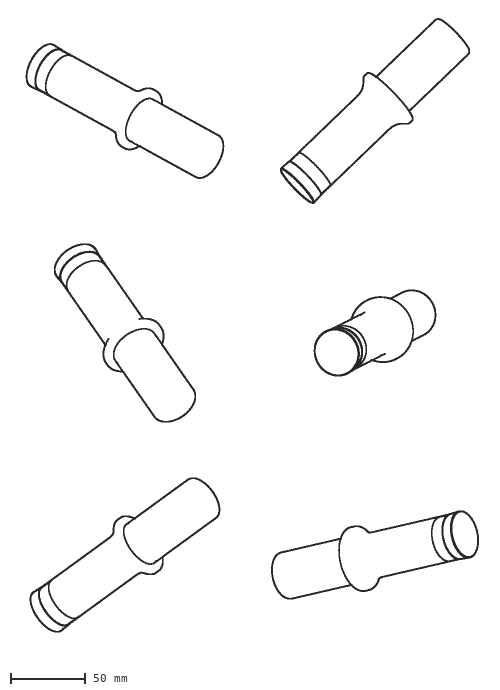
import cadquery as cq
import math

TOTAL_LENGTH = 148.0
START_X = -TOTAL_LENGTH / 2

TIP_DIAMETER = 32.0
TIP_BACK_DIAMETER = 31.2
TIP_CHAMFER = 0.5
TIP_LENGTH = 7.7
SPIGOT_DIAMETER = 30.2
SPIGOT_LENGTH = 8.9

NECK_DIAMETER = 31.0
FLARE_START = 72.1
FLARE_RADIUS = 13.6
FLARE_ANGLE = 45.0
COLLAR_DIAMETER = 44.0
COLLAR_BACK = 87.9
COLLAR_FRONT_FILLET = 1.2
COLLAR_BACK_FILLET = 0.5
REAR_DIAMETER = 32.0
REAR_FILLET = 2.2

SPIGOT_END = TIP_LENGTH + SPIGOT_LENGTH


def revolve_about_x(profile):
    """Turn a profile of (length, radius) points about the X axis and center it along X."""
    solid = profile.close().revolve(360, (0, 0, 0), (1, 0, 0))
    return solid.translate((START_X, 0, 0))


def make_tip():
    tip_radius = TIP_DIAMETER / 2
    spigot_radius = SPIGOT_DIAMETER / 2
    profile = (
        cq.Workplane("XY")
        .lineTo(0, tip_radius - TIP_CHAMFER)
        .lineTo(TIP_CHAMFER, tip_radius)
        .lineTo(TIP_LENGTH, TIP_BACK_DIAMETER / 2)
        .lineTo(TIP_LENGTH, spigot_radius)
        .lineTo(SPIGOT_END, spigot_radius)
        .lineTo(SPIGOT_END, 0)
    )
    return revolve_about_x(profile)


def flare_point(angle):
    """Point on the flare arc, at an angle in degrees from where it leaves the neck."""
    turn = math.radians(angle)
    along = FLARE_START + FLARE_RADIUS * math.sin(turn)
    radius = NECK_DIAMETER / 2 + FLARE_RADIUS * (1 - math.cos(turn))
    return along, radius


def make_shank():
    neck_radius = NECK_DIAMETER / 2
    collar_radius = COLLAR_DIAMETER / 2
    rear_radius = REAR_DIAMETER / 2
    spigot_radius = SPIGOT_DIAMETER / 2
    flare_end, flare_end_radius = flare_point(FLARE_ANGLE)
    cone_length = (collar_radius - flare_end_radius) / math.tan(math.radians(FLARE_ANGLE))
    profile = (
        cq.Workplane("XY")
        .moveTo(SPIGOT_END, 0)
        .lineTo(SPIGOT_END, spigot_radius)
        .lineTo(TIP_LENGTH, spigot_radius)
        .lineTo(TIP_LENGTH, neck_radius)
        .lineTo(FLARE_START, neck_radius)
        .threePointArc(flare_point(FLARE_ANGLE / 2), (flare_end, flare_end_radius))
        .lineTo(flare_end + cone_length, collar_radius)
        .lineTo(COLLAR_BACK, collar_radius)
        .lineTo(COLLAR_BACK, rear_radius)
        .lineTo(TOTAL_LENGTH, rear_radius)
        .lineTo(TOTAL_LENGTH, 0)
    )
    shank = revolve_about_x(profile)
    rim = cq.selectors.RadiusNthSelector(-1)
    shank = shank.edges(rim).edges("<X").fillet(COLLAR_FRONT_FILLET)
    shank = shank.edges(rim).edges(">X").fillet(COLLAR_BACK_FILLET)
    return shank.faces(">X").edges().fillet(REAR_FILLET)


tip = make_tip()
shank = make_shank()
result = cq.Compound.makeCompound([tip.val(), shank.val()])